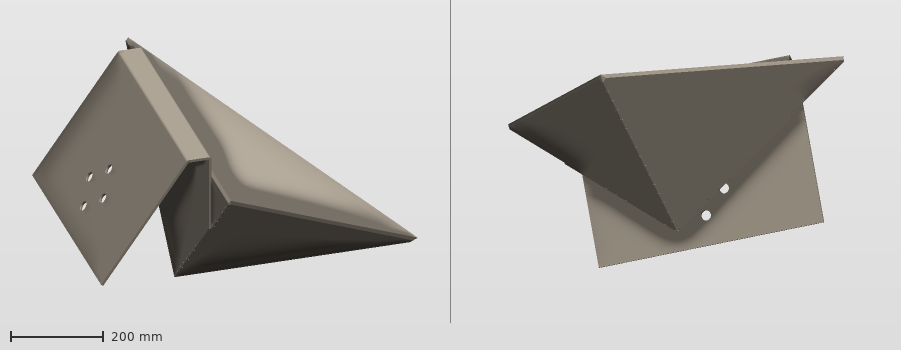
import cadquery as cq
import math

blade_width = 762.0
overall_length = 794.0
overall_height = 432.0
plate = 5.95

bracket_width = 510.0
bracket_depth = 55.0
inner_bend_radius = 1.0
outer_bend_radius = inner_bend_radius + plate
lip_angle = math.atan(math.sqrt(2))

bolt_hole_count = 4
bolt_hole_diameter = 22.0
bolt_hole_offset = 50.0
bolt_cross_to_edge = 115.0

stitch_diameter = 2.55
stitch_setback = 3.6
keel_stitch_start = 52.0
keel_stitch_span = 495.5
keel_stitch_count = 16
wing_stitch_start = 266.0
wing_stitch_span = 94.0
wing_stitch_count = 5
flange_stitch_start = 4.0
flange_stitch_span = 157.0
flange_stitch_count = 8

wing_tip = blade_width / 2
valley = plate * math.sqrt(2)
back_y = -wing_tip * math.sqrt(2)
back_outer_y = back_y - plate
flange_outer_y = back_outer_y - plate
rim_height = valley + wing_tip
half_bracket = bracket_width / 2


def polyhedron(faces):
    """Solid bounded by flat faces, each given as a list of points."""
    bounding_faces = [
        cq.Face.makeFromWires(cq.Wire.makePolygon([cq.Vector(*p) for p in face], close=True))
        for face in faces
    ]
    return cq.Workplane(cq.Solid.makeSolid(cq.Shell.makeShell(bounding_faces)))


def plate_along_y(points, front_y):
    """Plate of XZ outline reaching one thickness backward (-Y) from front_y."""
    return cq.Workplane("XZ", origin=(0, front_y, 0)).polyline(points).close().extrude(plate)


tip_inset = plate * (1 - 1 / math.sqrt(2))
outer_tip = wing_tip - tip_inset
bevel_setback = plate * (1 + math.sqrt(2))
keel_setback = 3 * plate

nose = (0, 0, valley)
valley_back = (0, back_y, valley)
inner_corner = (-wing_tip, back_y, rim_height)
outer_corner = (-outer_tip, back_y, outer_tip)
outer_nose = (-valley, -bevel_setback, valley)
keel_front = (0, -keel_setback, 0)
keel_back = (0, back_y, 0)

left_wing = polyhedron([
    [nose, inner_corner, outer_corner, outer_nose],
    [nose, outer_nose, keel_front],
    [outer_nose, outer_corner, keel_back, keel_front],
    [nose, valley_back, inner_corner],
    [nose, keel_front, keel_back, valley_back],
    [inner_corner, valley_back, keel_back, outer_corner],
])
wings = left_wing.union(left_wing.mirror("YZ"))

back_plate = plate_along_y(
    [(0, 0), (outer_tip, outer_tip), (outer_tip, rim_height),
     (-outer_tip, rim_height), (-outer_tip, outer_tip)],
    back_y,
)
top_bevel = (
    cq.Workplane("YZ")
    .polyline([(back_y, rim_height), (back_outer_y, rim_height), (back_outer_y, rim_height - plate)])
    .close()
    .extrude(wing_tip, both=True)
)
back_plate = back_plate.cut(top_bevel)

lip_corner_y = back_outer_y - bracket_depth
lip_along = (-math.cos(lip_angle), -math.sin(lip_angle))
lip_inward = (math.sin(lip_angle), -math.cos(lip_angle))
lip_length = (overall_length + lip_corner_y) / math.cos(lip_angle)
lip_edge = (-overall_length, overall_height + lip_length * lip_along[1])
lip_edge_inner = (lip_edge[0] + plate * lip_inward[0], lip_edge[1] + plate * lip_inward[1])

top_inner_z = overall_height - plate
inner_lip_corner_y = lip_corner_y + plate * math.tan(lip_angle / 2)
outer_bends = [(back_outer_y, overall_height), (lip_corner_y, overall_height)]
inner_bends = [(inner_lip_corner_y, top_inner_z), (flange_outer_y, top_inner_z)]

bracket = (
    cq.Workplane("YZ")
    .polyline(
        [(back_outer_y, half_bracket)] + outer_bends + [lip_edge, lip_edge_inner]
        + inner_bends + [(flange_outer_y, half_bracket)]
    )
    .close()
    .extrude(half_bracket, both=True)
)
for bends, radius in ((outer_bends, outer_bend_radius), (inner_bends, inner_bend_radius)):
    for y, z in bends:
        bracket = bracket.edges(cq.selectors.NearestToPointSelector((0, y, z))).fillet(radius)

flange_point = plate_along_y(
    [(0, 0), (half_bracket, half_bracket), (-half_bracket, half_bracket)],
    back_outer_y,
)

lip_plane = cq.Plane(
    origin=(0, lip_edge[0], lip_edge[1]),
    xDir=(1, 0, 0),
    normal=(0, -lip_inward[0], -lip_inward[1]),
)
bolt_holes = (
    cq.Workplane(lip_plane)
    .center(0, bolt_cross_to_edge)
    .polarArray(bolt_hole_offset, 0, 360, bolt_hole_count)
    .circle(bolt_hole_diameter / 2)
    .extrude(-plate)
)
bracket = bracket.cut(bolt_holes)


def evenly_spaced(start, span, count):
    """Places of count items spread evenly from start over span."""
    return [start + span * i / (count - 1) for i in range(count)]


def stitch_hole(corner, normal_a, normal_b):
    """Round hole through a square corner, from one face to the other, leaving the edge whole."""
    a = cq.Vector(*normal_a)
    b = cq.Vector(*normal_b)
    mouth = cq.Vector(*corner) - b * stitch_setback
    axis = a - b
    overshoot = stitch_diameter
    start = mouth + axis.normalized() * overshoot
    length = stitch_setback * math.sqrt(2) + 2 * overshoot
    return cq.Solid.makeCylinder(stitch_diameter / 2, length, start, axis * -1)


diagonal = 1 / math.sqrt(2)
left_normal = (-diagonal, 0, -diagonal)
right_normal = (diagonal, 0, -diagonal)
back_normal = (0, -1, 0)

stitch_holes = [
    stitch_hole((0, -distance, 0), left_normal, right_normal)
    for distance in evenly_spaced(keel_stitch_start, keel_stitch_span, keel_stitch_count)
]
for face_y, start, span, count in (
    (back_outer_y, wing_stitch_start, wing_stitch_span, wing_stitch_count),
    (flange_outer_y, flange_stitch_start, flange_stitch_span, flange_stitch_count),
):
    for height in evenly_spaced(start, span, count):
        stitch_holes.append(stitch_hole((-height, face_y, height), left_normal, back_normal))
        stitch_holes.append(stitch_hole((height, face_y, height), right_normal, back_normal))

result = wings.union(back_plate).union(bracket).union(flange_point).clean()
for hole in stitch_holes:
    result = result.cut(cq.Workplane(hole))